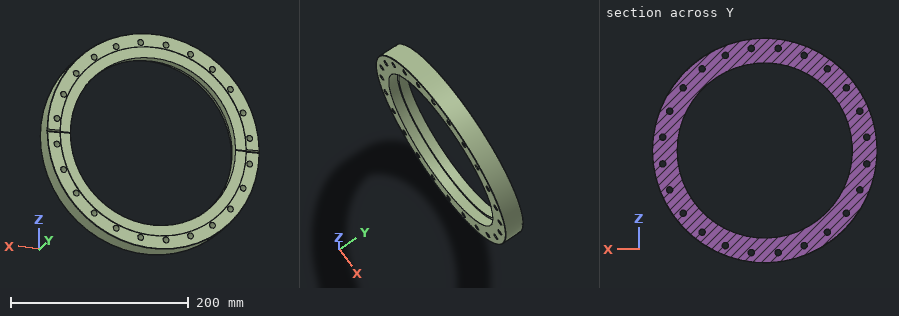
import cadquery as cq

outer_diameter = 253.19
thickness = 24.59
edge_chamfer = 0.5

bore_diameter = 196.9
recess_diameter = 203.2
recess_depth = 11.9

gasket_diameter = 222.0
gasket_depth = 1.1

bolt_count = 24
bolt_circle_diameter = 231.8
bolt_hole_diameter = 6.8

groove_width = 3.0
groove_depth = 1.7

front_y = -thickness / 2
back_y = thickness / 2


def cylinder_from_front(diameter, length):
    """Cylinder along +Y that starts on the -Y face of the ring."""
    front_plane = cq.Workplane("XZ", origin=(0, front_y, 0))
    return front_plane.circle(diameter / 2).extrude(-length)


def ring_body():
    disc = cylinder_from_front(outer_diameter, thickness).edges().chamfer(edge_chamfer)
    bore = cylinder_from_front(bore_diameter, thickness)
    recess = cylinder_from_front(recess_diameter, recess_depth)
    return disc.cut(bore).cut(recess)


def gasket_recess():
    back_plane = cq.Workplane("XZ", origin=(0, back_y, 0))
    return back_plane.circle(gasket_diameter / 2).extrude(gasket_depth)


def bolt_holes():
    """Through holes straddling the X and Z axes by half a pitch."""
    half_pitch = 360 / bolt_count / 2
    return (
        cq.Workplane("XZ", origin=(0, front_y, 0))
        .polarArray(bolt_circle_diameter / 2, half_pitch, 360, bolt_count)
        .circle(bolt_hole_diameter / 2)
        .extrude(-thickness)
    )


def face_groove():
    """Triangular bar as long as the ring is wide, with its tip pointing to -Y."""
    tip = (back_y - groove_depth, 0)
    corners = [(back_y, -groove_width / 2), tip, (back_y, groove_width / 2)]
    return cq.Workplane("YZ").polyline(corners).close().extrude(outer_diameter / 2, both=True)


result = ring_body().cut(bolt_holes()).cut(gasket_recess()).cut(face_groove())